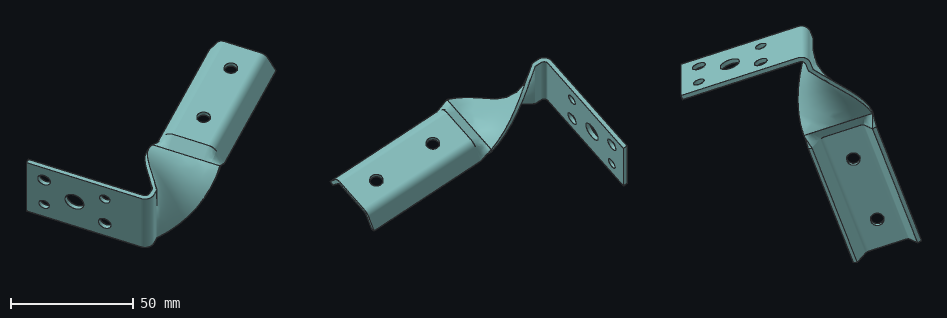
import cadquery as cq
import math

THICKNESS = 2.0
STRIP_WIDTH = 30.0
STRIP_RIGHT = 69.0
BEND_INNER_RADIUS = 2.0
TWIST_START = 7.0
TWIST_END = 40.3
TWIST_ANGLE = -90

LARGE_HOLE = 8.2
MEDIUM_HOLE = 5.5
SMALL_HOLE = 4.5
PLATE_HOLE_X = 21.3
PLATE_HOLE_DX = 13.5
PLATE_HOLE_DZ = 7.5

CHANNEL_START = 45.5
CHANNEL_END = 100.5
CHANNEL_TOP = 5.0
CHANNEL_HALF_WIDTH = 14.9
WEB_HALF_WIDTH = 7.8
FLANGE_ANGLE = 60
CHANNEL_BEND_RADIUS = 4.0
CHANNEL_HOLE_Y = (59.0, 88.0)

AXIS_X = STRIP_RIGHT - STRIP_WIDTH / 2
BEND_OUTER_RADIUS = BEND_INNER_RADIUS + THICKNESS
STRIP_OUTER_X = AXIS_X + THICKNESS / 2
STRIP_INNER_X = AXIS_X - THICKNESS / 2
BEND_CENTER_X = STRIP_OUTER_X - BEND_OUTER_RADIUS


def make_bent_plate():
    """L-shaped plate with a rounded corner and five holes."""
    diagonal = math.sqrt(0.5)
    outer_mid = (
        BEND_CENTER_X + BEND_OUTER_RADIUS * diagonal,
        BEND_OUTER_RADIUS * (1 - diagonal),
    )
    inner_mid = (
        BEND_CENTER_X + BEND_INNER_RADIUS * diagonal,
        BEND_OUTER_RADIUS - BEND_INNER_RADIUS * diagonal,
    )
    plate = (
        cq.Workplane("XY")
        .moveTo(0, 0)
        .lineTo(BEND_CENTER_X, 0)
        .threePointArc(outer_mid, (STRIP_OUTER_X, BEND_OUTER_RADIUS))
        .lineTo(STRIP_OUTER_X, TWIST_START)
        .lineTo(STRIP_INNER_X, TWIST_START)
        .lineTo(STRIP_INNER_X, BEND_OUTER_RADIUS)
        .threePointArc(inner_mid, (BEND_CENTER_X, THICKNESS))
        .lineTo(0, THICKNESS)
        .close()
        .extrude(STRIP_WIDTH / 2, both=True)
    )
    holes = [(0, 0, LARGE_HOLE)]
    for side in (-1, 1):
        holes.append((side * PLATE_HOLE_DX, -side * PLATE_HOLE_DZ, MEDIUM_HOLE))
        holes.append((side * PLATE_HOLE_DX, side * PLATE_HOLE_DZ, SMALL_HOLE))
    for dx, dz, diameter in holes:
        drill = (
            cq.Workplane("XZ")
            .center(PLATE_HOLE_X + dx, dz)
            .circle(diameter / 2)
            .extrude(-THICKNESS)
        )
        plate = plate.cut(drill)
    return plate


def make_twist():
    """Strip that turns from upright to flat about its own centre line."""
    section = cq.Workplane("XZ", origin=(AXIS_X, TWIST_START, 0)).rect(THICKNESS, STRIP_WIDTH)
    twist = cq.Solid.extrudeLinearWithRotation(
        section.wires().val(),
        [],
        cq.Vector(AXIS_X, TWIST_START, 0),
        cq.Vector(0, TWIST_END - TWIST_START, 0),
        TWIST_ANGLE,
    )
    return cq.Workplane(obj=twist)


def channel_half_points(offset):
    """Web end, bend middle, bend end and flange tip of the right half, offset inside the sheet."""
    radius = CHANNEL_BEND_RADIUS - offset
    center_z = CHANNEL_TOP - CHANNEL_BEND_RADIUS
    angle = math.radians(FLANGE_ANGLE)

    def on_bend(turn):
        return WEB_HALF_WIDTH + radius * math.sin(turn), center_z + radius * math.cos(turn)

    bend_end = on_bend(angle)
    bend_run = CHANNEL_BEND_RADIUS * math.sin(angle)
    flange_run = CHANNEL_HALF_WIDTH - WEB_HALF_WIDTH - bend_run
    tip = (bend_end[0] + flange_run, bend_end[1] - flange_run * math.tan(angle))
    return on_bend(0), on_bend(angle / 2), bend_end, tip


def strip_half_points(z):
    """Points of the flat strip that match the points of the channel half."""
    web_end, bend_mid, bend_end, _ = channel_half_points(0)
    return (web_end[0], z), (bend_mid[0], z), (bend_end[0], z), (STRIP_WIDTH / 2, z)


def section_wire(y, outer, inner, curved):
    """Closed symmetric section from the outer and inner points of its right half."""

    def mirror(point):
        return -point[0], point[1]

    def bend(sketch, middle, end):
        return sketch.threePointArc(middle, end) if curved else sketch.lineTo(*end)

    sketch = cq.Workplane("XZ", origin=(AXIS_X, y, 0)).moveTo(*mirror(outer[0])).lineTo(*outer[0])
    sketch = bend(sketch, outer[1], outer[2]).lineTo(*outer[3])
    sketch = sketch.lineTo(*inner[3]).lineTo(*inner[2])
    sketch = bend(sketch, inner[1], inner[0]).lineTo(*mirror(inner[0]))
    sketch = bend(sketch, mirror(inner[1]), mirror(inner[2])).lineTo(*mirror(inner[3]))
    sketch = sketch.lineTo(*mirror(outer[3])).lineTo(*mirror(outer[2]))
    return bend(sketch, mirror(outer[1]), mirror(outer[0])).close().wires().val()


def make_channel():
    """Trapezoidal channel with two web holes and a short transition down to the flat strip."""
    channel_wire = section_wire(
        CHANNEL_START, channel_half_points(0), channel_half_points(THICKNESS), True
    )
    flat_wire = section_wire(
        TWIST_END, strip_half_points(THICKNESS / 2), strip_half_points(-THICKNESS / 2), False
    )
    transition = cq.Solid.makeLoft([flat_wire, channel_wire], True)
    length = CHANNEL_END - CHANNEL_START
    straight = cq.Solid.extrudeLinear(channel_wire, [], cq.Vector(0, length, 0))
    channel = cq.Workplane(obj=straight).union(cq.Workplane(obj=transition))
    for y in CHANNEL_HOLE_Y:
        drill = (
            cq.Workplane("XY", origin=(AXIS_X, y, CHANNEL_TOP))
            .circle(MEDIUM_HOLE / 2)
            .extrude(-THICKNESS)
        )
        channel = channel.cut(drill)
    return channel


twisted_bracket = make_bent_plate().union(make_twist())
channel = make_channel()

result = cq.Compound.makeCompound([twisted_bracket.solids().val(), channel.solids().val()])